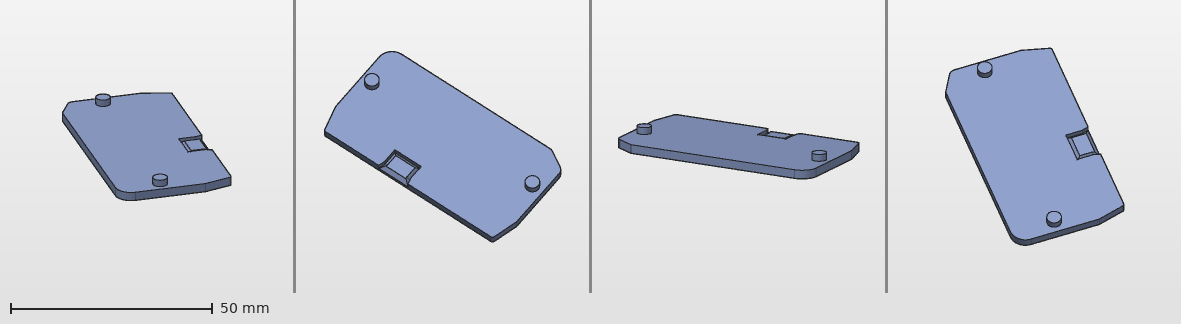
import cadquery as cq
import math

length = 56.1
width = 29.4
plate_thickness = 2.25
rear_taper_inset = 1.95
rear_taper_length = 7.35
rear_corner_radius = 0.7
front_bevel_length = 5.7
front_bevel_angle = 30.0
front_bevel_side_radius = 2.0
front_bevel_end_radius = 0.55
front_round_radius = 4.0

total_height = 4.0
pin_diameter = 3.65
pin_end_distance = 3.2
pin_y = 11.3

notch_center_x = 32.7
notch_width = 8.1
notch_mouth_width = 9.1
notch_depth = 6.05
mouth_flare_length = 1.75
pad_inset = 1.05
pad_height = 1.05
pad_below_top = 0.3


def make_plate():
    """Plate with tapered rear corners, one front bevel and one front round."""
    bevel_rise = front_bevel_length * math.tan(math.radians(front_bevel_angle))
    taper_start_y = width - rear_taper_length
    outline = [
        (front_bevel_length, 0),
        (length, 0),
        (length, taper_start_y),
        (length - rear_taper_inset, width),
        (rear_taper_inset, width),
        (0, taper_start_y),
        (0, bevel_rise),
    ]
    plate = cq.Workplane("XY").polyline(outline).close().extrude(plate_thickness)
    corner_radii = [
        (front_bevel_length, 0, front_bevel_end_radius),
        (length, 0, front_round_radius),
        (length - rear_taper_inset, width, rear_corner_radius),
        (rear_taper_inset, width, rear_corner_radius),
        (0, bevel_rise, front_bevel_side_radius),
    ]
    for x, y, radius in corner_radii:
        corner = cq.selectors.NearestToPointSelector((x, y, plate_thickness / 2))
        plate = plate.edges("|Z").edges(corner).fillet(radius)
    return plate


def notch_outline(base_z):
    """Notch outline, flared toward the rear edge, at height base_z."""
    half_width = notch_width / 2
    half_mouth = notch_mouth_width / 2
    flare_y = width - mouth_flare_length
    front_y = width - notch_depth
    return (
        cq.Workplane("XY", origin=(notch_center_x, 0, base_z))
        .polyline([
            (-half_mouth, width),
            (-half_width, flare_y),
            (-half_width, front_y),
            (half_width, front_y),
            (half_width, flare_y),
            (half_mouth, width),
        ])
        .close()
    )


def make_notch_and_pad():
    """Straight-walled notch and the pad whose sides slope down to its walls."""
    pad_top_z = plate_thickness - pad_below_top
    floor_z = pad_top_z - pad_height
    notch = notch_outline(floor_z).extrude(plate_thickness - floor_z)
    taper_angle = math.degrees(math.atan2(pad_inset, pad_height))
    pad = notch_outline(floor_z).extrude(pad_height, taper=taper_angle)
    return notch, pad


def make_pins():
    """Two round pins near the ends, rooted at the plate underside."""
    pin_centers = [(pin_end_distance, pin_y), (length - pin_end_distance, pin_y)]
    return (
        cq.Workplane("XY")
        .pushPoints(pin_centers)
        .circle(pin_diameter / 2)
        .extrude(total_height)
    )


notch, pad = make_notch_and_pad()
result = make_plate().cut(notch).union(pad).union(make_pins())